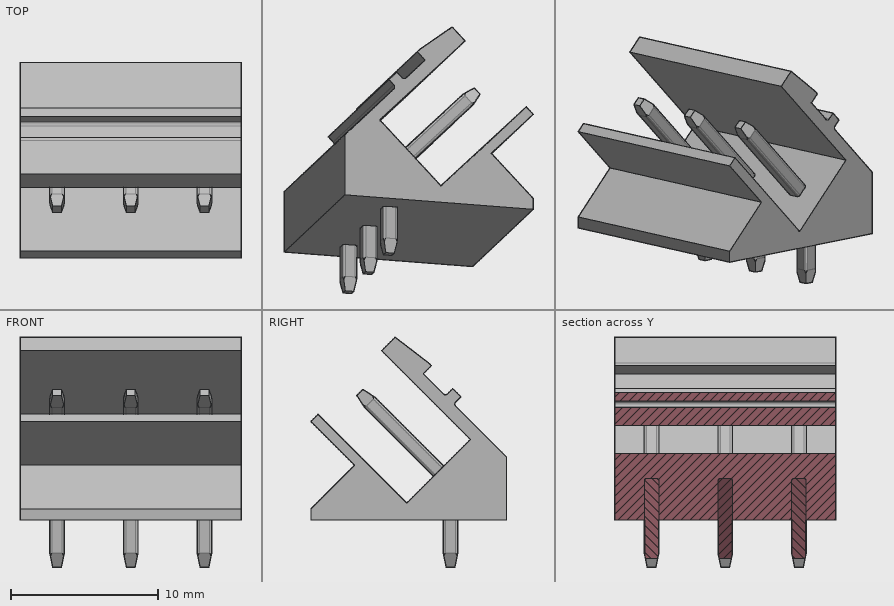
import cadquery as cq
import math


PIN_COUNT = 3
PIN_PITCH = 5.0
HOUSING_LENGTH = PIN_COUNT * PIN_PITCH

PIN_SIZE = 1.0
PIN_EDGE_RADIUS = 0.17
TAPER_END_SIZE = 0.6
TAPER_LENGTH = 0.97
TAIL_LENGTH = 3.2
BEND_HEIGHT = 2.52
BEND_TO_FLOOR = 1.14
CONTACT_LENGTH = 7.56

MATING_TILT = 45.0
BACK_OFFSET = 3.81
CAVITY_WIDTH = 6.1
CAVITY_DEPTH = 8.52
LOWER_WALL = 0.7
LOWER_WALL_FREE_LENGTH = 4.19
UPPER_WALL = 0.89

RIB_CENTER = 2.89
RIB_WIDTH = 0.8
RIB_HEIGHT = 0.7
RIB_ROOT_RADIUS = 0.2
HOOK_START = 5.41
HOOK_FLAT_LENGTH = 0.27
HOOK_HEIGHT = 0.78
HOOK_TIP_HEIGHT = 0.4

TILT_SIN = math.sin(math.radians(MATING_TILT))
TILT_COS = math.cos(math.radians(MATING_TILT))


def tilted_point(out, up):
    """(Y, Z) of a point measured from the middle of the cavity floor."""
    along_axis = BEND_TO_FLOOR + out
    y = -along_axis * TILT_COS + up * TILT_SIN
    z = BEND_HEIGHT + along_axis * TILT_SIN + up * TILT_COS
    return (y, z)


def make_housing_blank():
    """Side profile of the housing, extruded along the whole row."""
    cavity_top = CAVITY_WIDTH / 2
    cavity_bottom = -cavity_top
    upper_face = cavity_top + UPPER_WALL
    lower_face = cavity_bottom - LOWER_WALL
    rib_top = upper_face + RIB_HEIGHT
    rib_front = RIB_CENTER + RIB_WIDTH / 2
    rib_back = RIB_CENTER - RIB_WIDTH / 2
    hook_top = upper_face + HOOK_HEIGHT
    radius = RIB_ROOT_RADIUS
    arc_inset = radius * (1 - math.sqrt(0.5))

    front_y = tilted_point(CAVITY_DEPTH, lower_face)[0]
    notch_y, notch_z = tilted_point(CAVITY_DEPTH - LOWER_WALL_FREE_LENGTH, lower_face)
    front_z = notch_z - (notch_y - front_y) * math.tan(math.radians(MATING_TILT))
    upper_y, upper_z = tilted_point(0, upper_face)
    back_z = upper_z - (BACK_OFFSET - upper_y) * math.tan(math.radians(MATING_TILT))

    profile = (
        cq.Workplane("YZ")
        .moveTo(BACK_OFFSET, 0)
        .lineTo(BACK_OFFSET, back_z)
        .lineTo(*tilted_point(rib_back - radius, upper_face))
        .threePointArc(
            tilted_point(rib_back - arc_inset, upper_face + arc_inset),
            tilted_point(rib_back, upper_face + radius),
        )
        .lineTo(*tilted_point(rib_back, rib_top))
        .lineTo(*tilted_point(rib_front, rib_top))
        .lineTo(*tilted_point(rib_front, upper_face + radius))
        .threePointArc(
            tilted_point(rib_front + arc_inset, upper_face + arc_inset),
            tilted_point(rib_front + radius, upper_face),
        )
        .lineTo(*tilted_point(HOOK_START, upper_face))
        .lineTo(*tilted_point(HOOK_START, hook_top))
        .lineTo(*tilted_point(HOOK_START + HOOK_FLAT_LENGTH, hook_top))
        .lineTo(*tilted_point(CAVITY_DEPTH, upper_face + HOOK_TIP_HEIGHT))
        .lineTo(*tilted_point(CAVITY_DEPTH, cavity_top))
        .lineTo(*tilted_point(0, cavity_top))
        .lineTo(*tilted_point(0, cavity_bottom))
        .lineTo(*tilted_point(CAVITY_DEPTH, cavity_bottom))
        .lineTo(*tilted_point(CAVITY_DEPTH, lower_face))
        .lineTo(notch_y, notch_z)
        .lineTo(front_y, front_z)
        .lineTo(front_y, 0)
        .close()
    )
    return profile.extrude(HOUSING_LENGTH / 2, both=True)


def make_pin_section():
    """Square wire section with rounded edges."""
    return cq.Sketch().rect(PIN_SIZE, PIN_SIZE).vertices().fillet(PIN_EDGE_RADIUS)


def make_taper(base_plane):
    """Square taper with rounded base corners, narrowing along the normal of its base plane."""
    taper = (
        cq.Workplane(base_plane)
        .rect(PIN_SIZE, PIN_SIZE)
        .workplane(offset=TAPER_LENGTH)
        .rect(TAPER_END_SIZE, TAPER_END_SIZE)
        .loft()
    )
    rounded_wire = cq.Workplane(base_plane).placeSketch(make_pin_section()).extrude(TAPER_LENGTH)
    return taper.intersect(rounded_wire)


def make_pin():
    """Bent pin with its tail axis on the Z axis."""
    tail_z = -(TAIL_LENGTH - TAPER_LENGTH)
    contact_y, contact_z = tilted_point(CONTACT_LENGTH - TAPER_LENGTH, 0)

    path = cq.Workplane("YZ").polyline([(0, tail_z), (0, BEND_HEIGHT), (contact_y, contact_z)])
    shaft = (
        cq.Workplane("XY", origin=(0, 0, tail_z))
        .placeSketch(make_pin_section())
        .sweep(path, transition="right")
    )

    tail_end = cq.Plane(origin=(0, 0, tail_z), xDir=(1, 0, 0), normal=(0, 0, -1))
    contact_end = cq.Plane(
        origin=(0, contact_y, contact_z), xDir=(1, 0, 0), normal=(0, -TILT_COS, TILT_SIN)
    )
    return shaft.union(make_taper(tail_end)).union(make_taper(contact_end))


def make_pins():
    """One pin per place, centred on the row."""
    pin = make_pin()
    first_x = -(PIN_COUNT - 1) / 2 * PIN_PITCH
    return [pin.translate((first_x + i * PIN_PITCH, 0, 0)) for i in range(PIN_COUNT)]


def make_housing(pins):
    """Housing with a passage for each pin."""
    housing = make_housing_blank()
    for pin in pins:
        housing = housing.cut(pin)
    return housing


pins = make_pins()
housing = make_housing(pins)

result = cq.Compound.makeCompound([housing.val(), *[pin.val() for pin in pins]])